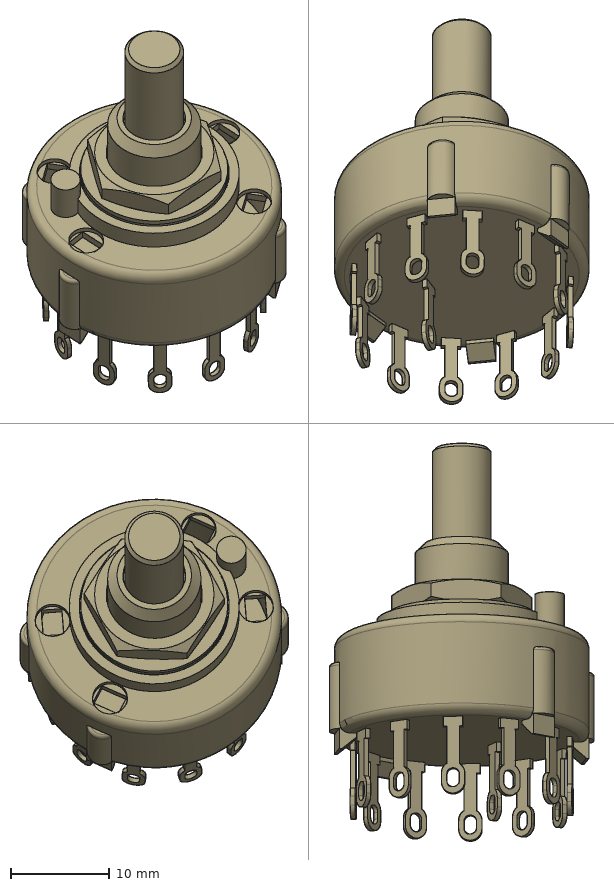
import cadquery as cq
import math

base_z = 8.0
body_height = 10.5
body_top = base_z + body_height
shaft_top = 38.5

body_diameter = 26.0
wall = 1.0
body_edge_radius = wall
roof = 1.3
boss_diameter = 17.32
boss_top = body_top + 2.0
seat_diameter = 15.0
seat_top = boss_top + 0.1
groove_diameter = 15.3
groove_depth = 0.4

bushing_diameter = 9.5
bushing_top = body_top + 9.97
bushing_chamfer = 0.95
shaft_diameter = 6.0
shaft_chamfer = 0.4
shaft_bore_diameter = 6.35
shaft_bore_depth = 1.0

pin_diameter = 3.0
pin_height = 4.0
pin_offset = 9.5

latch_angles = [60, 120, 240, 300]
latch_width = 2.85
pocket_diameter = 3.55
pocket_depth = 0.5
pocket_offset = 10.4
window_length = math.sqrt(pocket_diameter**2 - latch_width**2)
rib_radius = 1.6
rib_offset = 12.1
rib_bottom = base_z + 0.45
rib_height = 7.0
rib_edge_radius = 0.4
wedge_outer = 12.95
wedge_length = 1.77
wedge_drop = 1.65
wedge_tip = 0.27
wedge_heel = 0.42

terminal_count = 12
terminal_offset = 11.1
inner_terminal_offset = 3.7
inner_terminal_angle = 315
terminal_thickness = 0.5
strip_width = 1.3
shoulder_width = 2.0
shoulder_height = 1.0
eye_width = 2.4
eye_hole_width = 1.27
eye_straight = 0.92
eye_hole_straight = 0.7

nut_bore_diameter = 9.78
nut_top = boss_top + 3.0
nut_height = 2.4
nut_corner_diameter = 14.32
nut_angle = -6.4
nut_face_diameter = 12.15
nut_chamfer_drop = 0.5
washer_diameter = seat_diameter


def cylinder(diameter, bottom, top):
    return cq.Workplane("XY").workplane(offset=bottom).circle(diameter / 2).extrude(top - bottom)


def place(shape, radius, angle):
    """Move a shape built at the axis out along +X, then turn it about Z."""
    return shape.translate((radius, 0, 0)).rotate((0, 0, 0), (0, 0, 1), angle)


def make_body():
    body = cylinder(body_diameter, base_z, body_top).edges().fillet(body_edge_radius)
    boss = cylinder(boss_diameter, body_top, boss_top)
    groove_floor = boss_top - groove_depth
    groove = cylinder(groove_diameter, groove_floor, boss_top)
    seat = cylinder(seat_diameter, groove_floor, seat_top)
    pin = cylinder(pin_diameter, body_top, body_top + pin_height).translate((0, -pin_offset, 0))
    return body.union(boss).cut(groove).union(seat).union(pin)


def make_bushing_and_shaft():
    bushing = cylinder(bushing_diameter, body_top, bushing_top).faces(">Z").chamfer(bushing_chamfer)
    bore_floor = bushing_top - shaft_bore_depth
    bore = cylinder(shaft_bore_diameter, bore_floor, bushing_top)
    shaft = cylinder(shaft_diameter, bore_floor, shaft_top).faces(">Z").chamfer(shaft_chamfer)
    return bushing.cut(bore).union(shaft)


def make_cavity():
    return cylinder(body_diameter - 2 * wall, base_z + wall, body_top - roof)


def make_pocket():
    """Round recess with a rectangular window into the cavity, as a cutting shape."""
    floor = body_top - pocket_depth
    recess = cylinder(pocket_diameter, floor, body_top)
    window = (
        cq.Workplane("XY").workplane(offset=floor)
        .rect(window_length, latch_width)
        .extrude(pocket_depth - roof)
    )
    return recess.union(window)


def make_rib():
    rib = cylinder(2 * rib_radius, rib_bottom, rib_bottom + rib_height)
    return rib.faces(">Z").edges().fillet(rib_edge_radius)


def make_wedge():
    """Latch tip with a vertical outer face (at X = 0) and a sloping underside."""
    return (
        cq.Workplane("XZ")
        .moveTo(0, base_z - wedge_drop)
        .lineTo(0, rib_bottom)
        .lineTo(-wedge_length, rib_bottom)
        .lineTo(-wedge_length, base_z - wedge_heel)
        .lineTo(-wedge_tip, base_z - wedge_drop)
        .close()
        .extrude(latch_width / 2, both=True)
    )


def make_terminal():
    """Flat solder tab with an oblong eye, its faces square to X."""
    eye_center = (eye_width + eye_straight) / 2
    plane = cq.Workplane("YZ")
    half_thickness = terminal_thickness / 2

    def bar(width, bottom, top):
        middle = (bottom + top) / 2
        return plane.center(0, middle).rect(width, top - bottom).extrude(half_thickness, both=True)

    def oblong(width, straight):
        outline = plane.center(0, eye_center).slot2D(straight + width, width, 90)
        return outline.extrude(half_thickness, both=True)

    strip = bar(strip_width, eye_center, base_z)
    shoulder = bar(shoulder_width, base_z - shoulder_height, base_z + wall)
    eye = oblong(eye_width, eye_straight)
    eye_hole = oblong(eye_hole_width, eye_hole_straight)
    return strip.union(shoulder).union(eye).cut(eye_hole)


def make_switch():
    switch = make_body().union(make_bushing_and_shaft())
    for angle in latch_angles:
        switch = switch.union(place(make_rib(), rib_offset, angle))
        switch = switch.union(place(make_wedge(), wedge_outer, angle))
        switch = switch.cut(place(make_pocket(), pocket_offset, angle))
    switch = switch.cut(make_cavity())
    for index in range(terminal_count):
        angle = (index + 0.5) * 360 / terminal_count
        switch = switch.union(place(make_terminal(), terminal_offset, angle))
    return switch.union(place(make_terminal(), inner_terminal_offset, inner_terminal_angle))


def make_nut():
    nut_bottom = nut_top - nut_height
    hexagon = (
        cq.Workplane("XY").workplane(offset=nut_bottom)
        .polygon(6, nut_corner_diameter)
        .extrude(nut_height)
        .rotate((0, 0, 0), (0, 0, 1), nut_angle)
    )
    blank = cylinder(nut_corner_diameter, nut_bottom, nut_top).edges().chamfer(
        nut_chamfer_drop, (nut_corner_diameter - nut_face_diameter) / 2
    )
    washer = cylinder(washer_diameter, seat_top, nut_bottom)
    bore = cylinder(nut_bore_diameter, seat_top, nut_top)
    return hexagon.intersect(blank).union(washer).cut(bore)


switch = make_switch()
nut = make_nut()

result = cq.Compound.makeCompound([switch.solids().val(), nut.solids().val()])